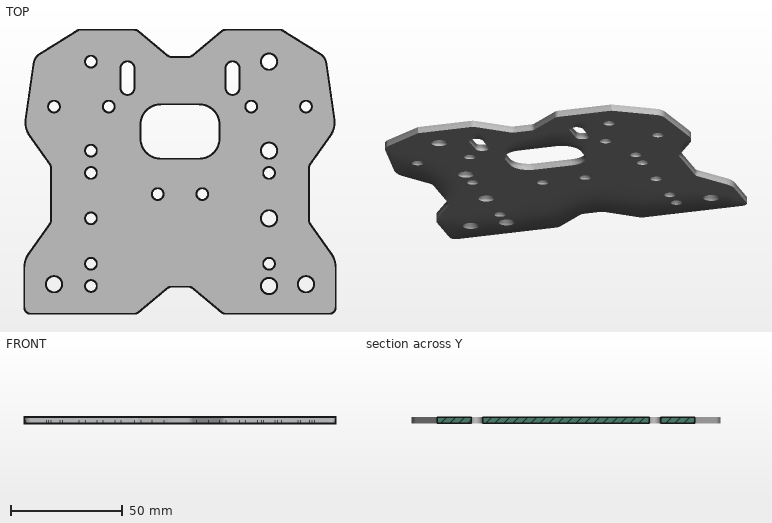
import cadquery as cq

plate_width = 140.0
plate_length = 127.72
thickness = 3.0
half_width = plate_width / 2
half_length = plate_length / 2

notch_half_floor = 4.9
notch_half_mouth = 19.5
notch_depth = 12.2
back_flat_end_x = 45.5
shoulder_x = 65.4
shoulder_y = 51.5
waist_half_width = 58.0
waist_center_y = -10.0
waist_half_length = 12.7
flank_half_length = 29.6

elbow_radius = 10.5
shoulder_radius = 6.0
corner_radius = 3.0

small_hole = 5.2
large_hole = 7.2
column_x = 40.0
column_top_y = 49.5
column_steps = (40.0, 30.4, 30.4)
inner_hole_inset = 10.0
outer_hole_x = 56.6
arm_hole_y = 29.3
arm_inner_hole_x = 32.0
foot_hole_y = -50.5
center_hole_x = 10.0
center_hole_y = -10.0

slot_x = 23.6
slot_y = 42.1
slot_length = 15.0
slot_width = 6.2

window_width = 35.4
window_length = 24.3
window_y = 18.1
window_radius = 9.0


def make_plate():
    """Flat plate with an outline that is mirrored about the YZ plane."""
    notch_floor_y = half_length - notch_depth
    elbow_back = (half_width, waist_center_y + flank_half_length)
    elbow_front = (half_width, waist_center_y - flank_half_length)
    shoulder = (shoulder_x, shoulder_y)
    foot = (half_width, -half_length)
    back_notch = [(notch_half_floor, notch_floor_y), (notch_half_mouth, half_length)]
    front_notch = [(x, -y) for x, y in reversed(back_notch)]
    waist = [
        (waist_half_width, waist_center_y + waist_half_length),
        (waist_half_width, waist_center_y - waist_half_length),
    ]
    right_side = [
        *back_notch,
        (back_flat_end_x, half_length),
        shoulder,
        elbow_back,
        *waist,
        elbow_front,
        foot,
        *front_notch,
    ]
    left_side = [(-x, y) for x, y in reversed(right_side)]
    plate = cq.Workplane("XY").polyline(right_side + left_side).close().extrude(thickness)

    roundings = [
        (shoulder, shoulder_radius),
        (elbow_back, elbow_radius),
        (elbow_front, elbow_radius),
        (foot, corner_radius),
    ]
    roundings += [(corner, corner_radius) for corner in back_notch + waist + front_notch]
    for (x, y), radius in roundings:
        for side in (-1, 1):
            corner = cq.selectors.NearestToPointSelector((side * x, y, thickness / 2))
            plate = plate.edges("|Z").edges(corner).fillet(radius)
    return plate


def mirrored(x, y):
    """The same place on both sides of the plate."""
    return [(-x, y), (x, y)]


def cut_holes(plate):
    """Round through holes; the right column has large holes, the left column small ones."""
    column_ys = [column_top_y]
    for step in column_steps:
        column_ys.append(column_ys[-1] - step)

    small_places = [(-column_x, y) for y in column_ys]
    small_places += mirrored(column_x, column_ys[1] - inner_hole_inset)
    small_places += mirrored(column_x, column_ys[-1] + inner_hole_inset)
    small_places += mirrored(outer_hole_x, arm_hole_y)
    small_places += mirrored(arm_inner_hole_x, arm_hole_y)
    small_places += mirrored(center_hole_x, center_hole_y)

    large_places = [(column_x, y) for y in column_ys]
    large_places += mirrored(outer_hole_x, foot_hole_y)

    for places, diameter in ((small_places, small_hole), (large_places, large_hole)):
        holes = cq.Workplane("XY").pushPoints(places).circle(diameter / 2).extrude(thickness)
        plate = plate.cut(holes)
    return plate


def cut_slots(plate):
    """Two round-ended slots along Y."""
    slots = (
        cq.Workplane("XY")
        .pushPoints(mirrored(slot_x, slot_y))
        .slot2D(slot_length, slot_width, 90)
        .extrude(thickness)
    )
    return plate.cut(slots)


def cut_window(plate):
    """Large central opening with rounded corners."""
    window = (
        cq.Workplane("XY")
        .center(0, window_y)
        .rect(window_width, window_length)
        .extrude(thickness)
        .edges("|Z")
        .fillet(window_radius)
    )
    return plate.cut(window)


result = cut_window(cut_slots(cut_holes(make_plate())))